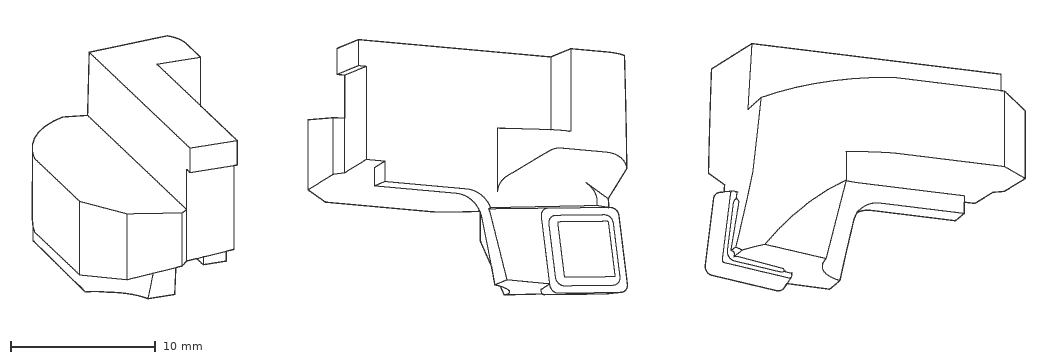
import cadquery as cq
import math


LENGTH = 20.65
DEPTH = 14.0
HEIGHT = 16.55
BIG = 61.92

LEFT_LIMIT = 0.78
NOSE_START = (9.95, 0.0)
NOSE_MIDDLE = (4.21, 2.93)
NOSE_END = (LEFT_LIMIT, 7.85)
FRONT_CORNER_CUT = 2.5
BACK_LEFT_RADIUS = 2.5
BACK_RIGHT_RADIUS = 1.0
BLOCK_SLANT_FOOT = 10.03
BLOCK_SLANT_ANGLE = 49.0

BAR_FRONT = 7.2
BAR_BACK = 10.73
STEP_X = 5.99
SHELF_FRONT_Z = 12.73
SHELF_ANGLE = 8.1
NOTCH_DEPTH = 0.6
NOTCH_TOP_Z = 14.72

UNDERSIDE_FRONT_Z = 7.22
UNDERSIDE_ANGLE = 5.0
BOSS_WALL_X = 6.87
BOSS_WALL_Y = 9.02
BOSS_WALL_RADIUS = 4.0
BOSS_BOTTOM_Z = 0.6
BOSS_RIGHT_X = 9.3
BOSS_SLANT_ANGLE = 13.8
BOSS_ROOT_RADIUS = 2.0
KEEL_Z = 6.73
KEEL_RIGHT_X = 18.62

BACK_SLOPE_TOP_Z = 9.5
BACK_SLOPE_DIAMETER = 2.5
BACK_SLOPE_ANGLE = 32.2
RELIEF_END = (3.57, 11.31)

END_TOP_FRONT = (2.23, 7.2, 16.55)
END_TOP_BACK = (1.57, 13.25, 16.55)
HINGE_FRONT = (1.75, 6.03, 6.7)
HINGE_BACK = (1.32, 10.13, 7.05)
NOSE_TIP = (1.03, 7.33, 1.57)
FLANK_TOP = (BOSS_WALL_X, 1.15, 5.18)
FLANK_TIP = (2.41, 5.0, 1.22)
FLANK_BOTTOM = (BOSS_WALL_X, 5.02, 0.75)
BOTTOM_BACK = (BOSS_WALL_X, 7.0, BOSS_BOTTOM_Z)
TIP_CUT_FRONT = (1.32, 6.77, 1.18)
TIP_CUT_BACK = (1.22, 7.85, 1.11)

INSERT_SIDE = 6.05
INSERT_THICKNESS = 2.13
INSERT_CORNER_RADIUS = 0.6
INSERT_TAPER = 11.0
INSERT_CORNER = (-0.06, 10.46, 0.54)
INSERT_EDGE = (1.0, 0.033, -0.1)
INSERT_FRONT_NORMAL = (0.026, -1.0, -0.069)
RAKE_PLANE = cq.Plane(origin=INSERT_CORNER, xDir=INSERT_EDGE, normal=INSERT_FRONT_NORMAL)
BASE_LEDGE = 0.29
BASE_THICKNESS = 1.03
BASE_TAPER = 21.0
BASE_CORNER_RADIUS = 0.62
PAD_MARGIN = 0.52
PAD_THICKNESS = 0.3
PAD_CORNER_RADIUS = 0.62
PAD_TAPER = 60.0


def half_space(p, q, r):
    """Large block on the side of plane p-q-r that (q - p) x (r - p) points to."""
    origin = cq.Vector(*p)
    normal = (cq.Vector(*q) - origin).cross(cq.Vector(*r) - origin)
    return cq.Workplane(cq.Plane(origin=origin, normal=normal)).rect(BIG, BIG).extrude(BIG)


def box_between(low, high):
    """Axis-aligned block between two opposite corners."""
    size = [b - a for a, b in zip(low, high)]
    return cq.Workplane("XY").box(*size, centered=False).translate(low)


def slope_z(y, front_z, angle):
    """Height at depth y of a plane that starts at front_z and tilts about X."""
    return front_z + y * math.tan(math.radians(angle))


def profile_along_x(points, x_start, x_end):
    """Prism along X from (y, z) points."""
    return cq.Workplane("YZ", origin=(x_start, 0, 0)).polyline(points).close().extrude(x_end - x_start)


def plan_blank():
    """Full-height block with the plan outline of the head."""
    block_rise = DEPTH - BAR_BACK
    block_right = BLOCK_SLANT_FOOT - block_rise / math.tan(math.radians(BLOCK_SLANT_ANGLE))
    blank = (
        cq.Workplane("XY")
        .moveTo(*NOSE_START)
        .lineTo(LENGTH - FRONT_CORNER_CUT, 0)
        .lineTo(LENGTH, FRONT_CORNER_CUT)
        .lineTo(LENGTH, BAR_BACK)
        .lineTo(BLOCK_SLANT_FOOT, BAR_BACK)
        .lineTo(block_right, DEPTH)
        .lineTo(LEFT_LIMIT, DEPTH)
        .lineTo(*NOSE_END)
        .threePointArc(NOSE_MIDDLE, NOSE_START)
        .close()
        .extrude(HEIGHT)
    )
    blank = blank.edges(cq.NearestToPointSelector((LEFT_LIMIT, DEPTH, HEIGHT / 2))).fillet(BACK_LEFT_RADIUS)
    right_corner = cq.NearestToPointSelector((block_right, DEPTH, HEIGHT / 2))
    return blank.edges(right_corner).fillet(BACK_RIGHT_RADIUS)


def shelf_cut(x_start, y_start, y_end):
    """Material above the inclined shelf plane between two depths, right of x_start."""
    points = [
        (y_start, slope_z(y_start, SHELF_FRONT_Z, -SHELF_ANGLE)),
        (y_end, slope_z(y_end, SHELF_FRONT_Z, -SHELF_ANGLE)),
        (y_end, BIG),
        (y_start, BIG),
    ]
    return profile_along_x(points, x_start, BIG)


def notch_cut():
    """Step in the right end of the bar, with a 45 degree run-out at the shelf."""
    return (
        cq.Workplane("XY")
        .moveTo(LENGTH - NOTCH_DEPTH, DEPTH)
        .lineTo(LENGTH - NOTCH_DEPTH, BAR_FRONT)
        .lineTo(LENGTH, BAR_FRONT - NOTCH_DEPTH)
        .lineTo(LENGTH, DEPTH)
        .close()
        .extrude(NOTCH_TOP_Z)
    )


def underside_prism():
    """Everything below the inclined underside plane."""
    return profile_along_x(
        [
            (0, -BIG),
            (DEPTH, -BIG),
            (DEPTH, slope_z(DEPTH, UNDERSIDE_FRONT_Z, UNDERSIDE_ANGLE)),
            (0, UNDERSIDE_FRONT_Z),
        ],
        0,
        LENGTH,
    )


def front_recess():
    """Space under the plate, in front of the boss and the keel."""
    recess = box_between((BOSS_WALL_X, -BIG, -BIG), (BIG, BOSS_WALL_Y, BIG))
    recess = recess.edges("|Z").edges("<X and >Y").fillet(BOSS_WALL_RADIUS)
    return recess.intersect(underside_prism())


def boss_side_cut():
    """Space to the right of the boss and below the keel."""
    keel_rise = KEEL_Z - BOSS_BOTTOM_Z
    slant_top_x = BOSS_RIGHT_X + keel_rise * math.tan(math.radians(BOSS_SLANT_ANGLE))
    cut = (
        cq.Workplane("XZ", origin=(0, DEPTH, 0))
        .moveTo(BOSS_RIGHT_X, 0)
        .lineTo(BOSS_RIGHT_X, BOSS_BOTTOM_Z)
        .lineTo(slant_top_x, KEEL_Z)
        .lineTo(LENGTH, KEEL_Z)
        .lineTo(LENGTH, 0)
        .close()
        .extrude(DEPTH)
    )
    root = cq.NearestToPointSelector((slant_top_x, DEPTH / 2, KEEL_Z))
    cut = cut.edges(root).fillet(BOSS_ROOT_RADIUS)
    past_keel = box_between((KEEL_RIGHT_X, 0, -BIG), (LENGTH, DEPTH, BIG))
    return cut.union(past_keel.intersect(underside_prism()))


def back_slope_z(y):
    """Height of the slope under the back block at depth y."""
    return BACK_SLOPE_TOP_Z - (DEPTH - y) * math.tan(math.radians(BACK_SLOPE_ANGLE))


def below_back_slope(y_start):
    """Everything under the back slope, behind depth y_start."""
    points = [
        (DEPTH, BACK_SLOPE_TOP_Z),
        (DEPTH, -BIG),
        (y_start, -BIG),
        (y_start, back_slope_z(y_start)),
    ]
    return profile_along_x(points, 0, LENGTH)


def back_cut():
    """Back slope blended into the upright back wall, with an oblique relief at the left end."""
    wall_top = cq.NearestToPointSelector((LENGTH / 2, BAR_BACK, back_slope_z(BAR_BACK)))
    main_cut = below_back_slope(BAR_BACK).edges(wall_top).fillet(BACK_SLOPE_DIAMETER / 2)
    relief_x, relief_y = HINGE_BACK[:2]
    relief_end_x, relief_end_y = RELIEF_END
    relief = (
        cq.Workplane("XY")
        .moveTo(0, relief_y)
        .lineTo(relief_x, relief_y)
        .lineTo(relief_end_x, relief_end_y)
        .lineTo(0, relief_end_y)
        .close()
        .extrude(HEIGHT)
    )
    return main_cut.union(relief.intersect(below_back_slope(relief_y)))


def chip_space():
    """Space behind the rake face, up to the level of the insert's upper edge."""
    return cq.Workplane(RAKE_PLANE).center(0, INSERT_SIDE / 2).rect(BIG, INSERT_SIDE).extrude(-BIG)


def left_end_cut():
    """Space left of the two end faces, which meet along a slight crease."""
    upper = half_space(END_TOP_FRONT, END_TOP_BACK, HINGE_FRONT)
    lower = half_space(HINGE_FRONT, HINGE_BACK, NOSE_TIP)
    return upper.intersect(lower)


def make_insert():
    """Tapered square insert with a bevelled base in front and a raised pad behind."""
    centre = INSERT_SIDE / 2

    def tapered_square(offset, side, radius, thickness, taper):
        sketch = cq.Sketch().rect(side, side).vertices().fillet(radius)
        face = cq.Workplane(RAKE_PLANE).center(centre, centre).workplane(offset=offset)
        return face.placeSketch(sketch).extrude(thickness, taper=taper)

    plate = tapered_square(0, INSERT_SIDE, INSERT_CORNER_RADIUS, INSERT_THICKNESS, INSERT_TAPER)
    front_inset = INSERT_THICKNESS * math.tan(math.radians(INSERT_TAPER))
    base_side = INSERT_SIDE - 2 * (front_inset + BASE_LEDGE)
    base = tapered_square(INSERT_THICKNESS, base_side, BASE_CORNER_RADIUS, BASE_THICKNESS, BASE_TAPER)
    pad_side = INSERT_SIDE - 2 * PAD_MARGIN
    pad = tapered_square(0, pad_side, PAD_CORNER_RADIUS, -PAD_THICKNESS, PAD_TAPER)
    return plate.union(base).union(pad)


def make_holder(insert):
    """Holder body, cut from the plan blank and pocketed to the shape of the insert."""
    cuts = [
        shelf_cut(0, 0, BAR_FRONT),
        shelf_cut(STEP_X, BAR_BACK, DEPTH),
        notch_cut(),
        front_recess(),
        boss_side_cut(),
        back_cut(),
        chip_space(),
        left_end_cut(),
        half_space(FLANK_TOP, FLANK_TIP, FLANK_BOTTOM),
        half_space(FLANK_TIP, BOTTOM_BACK, FLANK_BOTTOM),
        half_space(NOSE_TIP, TIP_CUT_BACK, TIP_CUT_FRONT),
        box_between((0, 0, -BIG), (LENGTH, DEPTH, BOSS_BOTTOM_Z)),
        insert,
    ]
    holder = plan_blank()
    for cut in cuts:
        holder = holder.cut(cut)
    return holder


insert = make_insert()
holder = make_holder(insert)
result = cq.Compound.makeCompound([holder.solids().val(), insert.solids().val()])